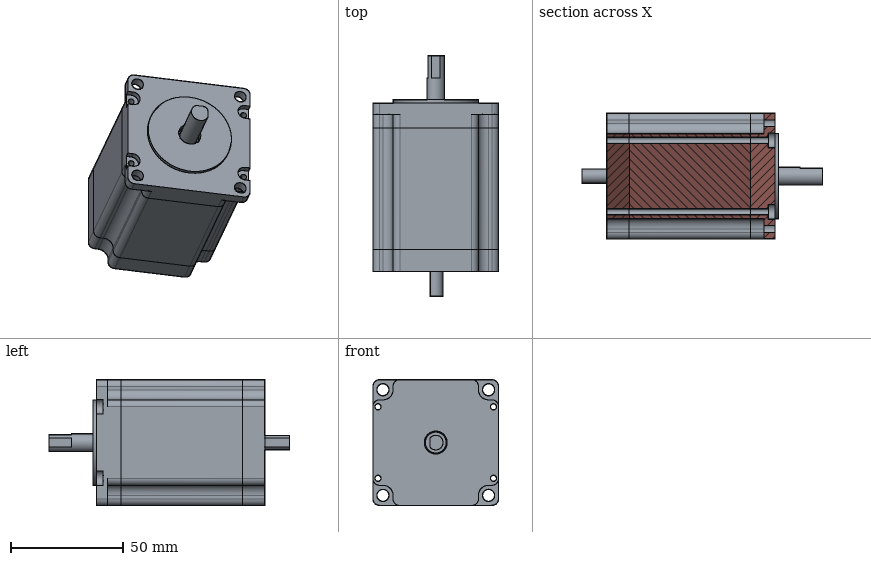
import cadquery as cq
import math

width = 56.0
corner_radius = 3.0
mount_spacing = 47.0
mount_hole_diameter = 5.25
corner_relief_diameter = 9.0
screw_spacing_x = 51.4
screw_spacing_z = 31.8
screw_hole_diameter = 2.6
screw_slot_width = 6.5
screw_slot_depth = 3.0
bore_diameter = 10.0

flange_length = 11.0
flange_plate = 5.0
stator_length = 54.0
rear_cap_length = 10.0
pilot_diameter = 38.1
pilot_height = 1.6
total_length = 107.13

front_shaft_diameter = 8.0
front_shaft_reach = 21.13
front_flat_distance = 3.5
front_flat_length = 10.0
rear_shaft_diameter = 6.5
rear_flat_distance = 2.55
shoulder_diameter = 9.5
shoulder_setback = 1.0

half_width = width / 2
mount_offset = mount_spacing / 2
stator_front = -flange_length
stator_rear = stator_front - stator_length
body_rear = stator_rear - rear_cap_length
shaft_front = front_shaft_reach
shaft_rear = shaft_front - total_length
screw_centres = [
    (sx * screw_spacing_x / 2, sz * screw_spacing_z / 2) for sx in (-1, 1) for sz in (-1, 1)
]
mount_centres = [(sx * mount_offset, sz * mount_offset) for sx in (-1, 1) for sz in (-1, 1)]


def section_at(y):
    """Workplane across the motor axis at position y; extruding goes towards -Y."""
    return cq.Workplane("XZ", origin=(0, y, 0))


def cylinders(points, diameter, y_front, y_rear):
    """Equal cylinders along Y, centred on the given (x, z) points."""
    return section_at(y_front).pushPoints(points).circle(diameter / 2).extrude(y_front - y_rear)


def rounded_square(y_front, y_rear):
    block = section_at(y_front).rect(width, width).extrude(y_front - y_rear)
    return block.edges("|Y").fillet(corner_radius)


def corner_relief(y_front, y_rear):
    """Cutter for the corner at +X +Z: round around the mounting hole, flared at both mouths."""
    relief_radius = corner_relief_diameter / 2
    wall = mount_offset - relief_radius
    flare_start = half_width - corner_radius
    mouth = wall - corner_radius
    diagonal = math.sqrt(0.5)
    arc_middle = mount_offset - relief_radius * diagonal
    flare_low = mouth + corner_radius * diagonal
    flare_high = flare_start + corner_radius * diagonal
    return (
        section_at(y_front)
        .moveTo(mouth, half_width)
        .threePointArc((flare_low, flare_high), (wall, flare_start))
        .lineTo(wall, mount_offset)
        .threePointArc((arc_middle, arc_middle), (mount_offset, wall))
        .lineTo(flare_start, wall)
        .threePointArc((flare_high, flare_low), (half_width, mouth))
        .lineTo(half_width, half_width)
        .close()
        .extrude(y_front - y_rear)
    )


def cut_corners(body, y_front, y_rear):
    cutter = corner_relief(y_front, y_rear)
    for quarter_turn in range(4):
        body = body.cut(cutter.rotate((0, 0, 0), (0, 1, 0), 90 * quarter_turn))
    return body


def cut_through_holes(body, y_front, y_rear):
    body = body.cut(cylinders(screw_centres, screw_hole_diameter, y_front, y_rear))
    return body.cut(cylinders([(0, 0)], bore_diameter, y_front, y_rear))


def screw_slot(centre_x, centre_z):
    """Cutter for a screw-head recess: round towards the axis, straight and open at the side."""
    round_end = cylinders([(centre_x, centre_z)], screw_slot_width, 0, -screw_slot_depth)
    mouth_x = math.copysign(half_width, centre_x)
    straight_part = (
        section_at(0)
        .center((centre_x + mouth_x) / 2, centre_z)
        .rect(abs(mouth_x - centre_x), screw_slot_width)
        .extrude(screw_slot_depth)
    )
    return round_end.union(straight_part)


def make_front_flange():
    flange = rounded_square(0, stator_front)
    flange = cut_corners(flange, -flange_plate, stator_front)
    flange = flange.union(cylinders([(0, 0)], pilot_diameter, pilot_height, stator_front))
    flange = cut_through_holes(flange, pilot_height, stator_front)
    flange = flange.cut(cylinders(mount_centres, mount_hole_diameter, 0, -flange_plate))
    for centre_x, centre_z in screw_centres:
        flange = flange.cut(screw_slot(centre_x, centre_z))
    return flange


def make_section(y_front, y_rear):
    section = section_at(y_front).rect(width, width).extrude(y_front - y_rear)
    return cut_through_holes(cut_corners(section, y_front, y_rear), y_front, y_rear)


def flat_cutter(distance, y_front, y_rear):
    """Block that mills a flat on the -X side, at the given distance from the axis."""
    size = shoulder_diameter
    return section_at(y_front).center(-distance - size / 2, 0).rect(size, size).extrude(y_front - y_rear)


def make_shaft():
    shoulder_front = -shoulder_setback
    shoulder_rear = body_rear + shoulder_setback

    front_end = cylinders([(0, 0)], front_shaft_diameter, shaft_front, shoulder_front)
    front_flat = flat_cutter(front_flat_distance, shaft_front, shaft_front - front_flat_length)
    front_end = front_end.cut(front_flat)
    front_end = front_end.cut(front_flat.rotate((0, 0, 0), (0, 1, 0), 90))

    rear_end = cylinders([(0, 0)], rear_shaft_diameter, shoulder_rear, shaft_rear)
    rear_end = rear_end.cut(flat_cutter(rear_flat_distance, shoulder_rear, shaft_rear))

    shoulder = cylinders([(0, 0)], shoulder_diameter, shoulder_front, shoulder_rear)
    return shoulder.union(front_end).union(rear_end)


front_flange = make_front_flange()
stator = make_section(stator_front, stator_rear)
rear_cap = make_section(stator_rear, body_rear)
shaft = make_shaft()
result = cq.Compound.makeCompound(
    [front_flange.val(), stator.val(), rear_cap.val(), shaft.val()]
)